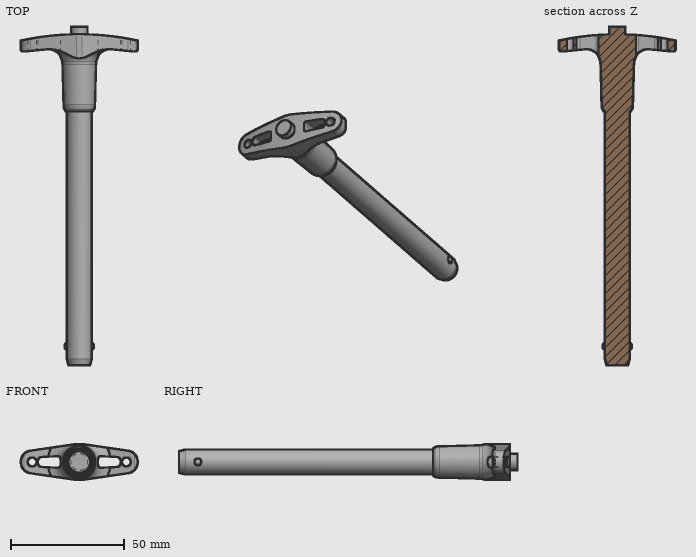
import cadquery as cq
import math

length = 148.6

shaft_diameter = 11.1
shaft_radius = shaft_diameter / 2
tip_radius = 4.8
tip_chamfer_length = 2.8
ball_radius = 1.6
ball_from_tip = 8.3
ball_reach = 6.5

button_radius = 3.7
button_height = 3.3

collar_base = 111.5
collar_base_radius = 6.0
collar_chamfer_end = 112.3
collar_chamfer_radius = 6.5
collar_round_end = 114.4
collar_round_bulge = 0.1
collar_lower_radius = 7.0
collar_top = 132.0
collar_upper_radius = 7.5

flare_start_radius = 7.6
flare_end_radius = 13.8
flare_start = 133.3

handle_length = 51.4
handle_depth = 15.9
middle_flat_width = 2.4
handle_end_radius = 5.0
crown_end = 142.5
underside_inner = 138.6
underside_end = 137.5
underside_end_fillet = 1.3

cord_hole_x = 20.7
cord_hole_radius = 2.0
slot_inner_x = 8.3
slot_outer_x = 18.1
slot_inner_half_height = 2.5
slot_outer_half_height = 2.1
slot_inner_fillet = 1.0
slot_outer_fillet = 1.8

half_length = handle_length / 2
half_depth = handle_depth / 2
crown_top = length - button_height
Y_AXIS = ((0, 0, 0), (0, 1, 0))


def y_cylinder(radius, x=0):
    """Full-length cylinder parallel to Y."""
    return cq.Workplane("XZ").center(x, 0).circle(radius).extrude(-length)


def make_shaft_and_collar():
    """Chamfered shaft and rounded, slightly tapered collar, turned about Y."""
    return (
        cq.Workplane("XY")
        .lineTo(tip_radius, 0)
        .lineTo(shaft_radius, tip_chamfer_length)
        .lineTo(shaft_radius, collar_base)
        .lineTo(collar_base_radius, collar_base)
        .lineTo(collar_chamfer_radius, collar_chamfer_end)
        .sagittaArc((collar_lower_radius, collar_round_end), -collar_round_bulge)
        .lineTo(collar_upper_radius, collar_top)
        .lineTo(flare_start_radius, flare_start)
        .lineTo(0, flare_start)
        .close()
        .revolve(360, *Y_AXIS)
    )


def make_flare():
    """Concave flare, level at its rim, turned about Y and embedded in the handle."""
    width = flare_end_radius - flare_start_radius
    height = underside_inner - flare_start
    flare_sagitta = math.hypot(width, height) / 2 * math.tan(math.atan2(height, width) / 2)
    embedded_top = (underside_inner + crown_end) / 2
    return (
        cq.Workplane("XY")
        .moveTo(0, flare_start)
        .lineTo(0, embedded_top)
        .lineTo(flare_end_radius, embedded_top)
        .lineTo(flare_end_radius, underside_inner)
        .sagittaArc((flare_start_radius, flare_start), -flare_sagitta)
        .close()
        .revolve(360, *Y_AXIS)
    )


def make_plan_prism():
    """Handle outline in XZ: middle flats, tapering sides and round ends."""
    half_flat = middle_flat_width / 2
    end_center = half_length - handle_end_radius
    run = end_center - half_flat
    taper = math.atan2(half_depth, run) - math.asin(handle_end_radius / math.hypot(run, half_depth))
    tangent_x = end_center + handle_end_radius * math.sin(taper)
    tangent_z = handle_end_radius * math.cos(taper)
    return (
        cq.Workplane("XZ")
        .moveTo(-half_flat, half_depth)
        .lineTo(half_flat, half_depth)
        .lineTo(tangent_x, tangent_z)
        .threePointArc((half_length, 0), (tangent_x, -tangent_z))
        .lineTo(half_flat, -half_depth)
        .lineTo(-half_flat, -half_depth)
        .lineTo(-tangent_x, -tangent_z)
        .threePointArc((-half_length, 0), (-tangent_x, tangent_z))
        .close()
        .extrude(-length)
    )


def make_wings():
    """Arched bar in XY with gently drooping undersides and rounded lower ends."""
    underside_slope = (underside_inner - underside_end) / (half_length - flare_end_radius)
    underside_peak = underside_end + underside_slope * half_length
    return (
        cq.Workplane("XY")
        .moveTo(-half_length, crown_end)
        .threePointArc((0, crown_top), (half_length, crown_end))
        .lineTo(half_length, underside_end)
        .lineTo(0, underside_peak)
        .lineTo(-half_length, underside_end)
        .close()
        .extrude(half_depth, both=True)
        .edges("<Y")
        .fillet(underside_end_fillet)
    )


def make_openings(side):
    """Cord hole and tapering slot through one wing; side is +1 or -1."""
    slot = (
        cq.Workplane("XZ")
        .moveTo(side * slot_inner_x, slot_inner_half_height)
        .lineTo(side * slot_outer_x, slot_outer_half_height)
        .lineTo(side * slot_outer_x, -slot_outer_half_height)
        .lineTo(side * slot_inner_x, -slot_inner_half_height)
        .close()
        .extrude(-length)
    )
    outward, inward = (">X", "<X") if side > 0 else ("<X", ">X")
    slot = slot.faces(outward).edges("|Y").fillet(slot_outer_fillet)
    slot = slot.faces(inward).edges("|Y").fillet(slot_inner_fillet)
    return slot.union(y_cylinder(cord_hole_radius, side * cord_hole_x))


def make_ball(side):
    """Locking ball protruding from one side of the shaft."""
    center_x = side * (ball_reach - ball_radius)
    return cq.Workplane("XY").sphere(ball_radius).translate((center_x, ball_from_tip, 0))


handle = make_wings().union(make_flare()).intersect(make_plan_prism())
result = handle.union(make_shaft_and_collar()).union(y_cylinder(button_radius))
for side in (-1, 1):
    result = result.cut(make_openings(side)).union(make_ball(side))